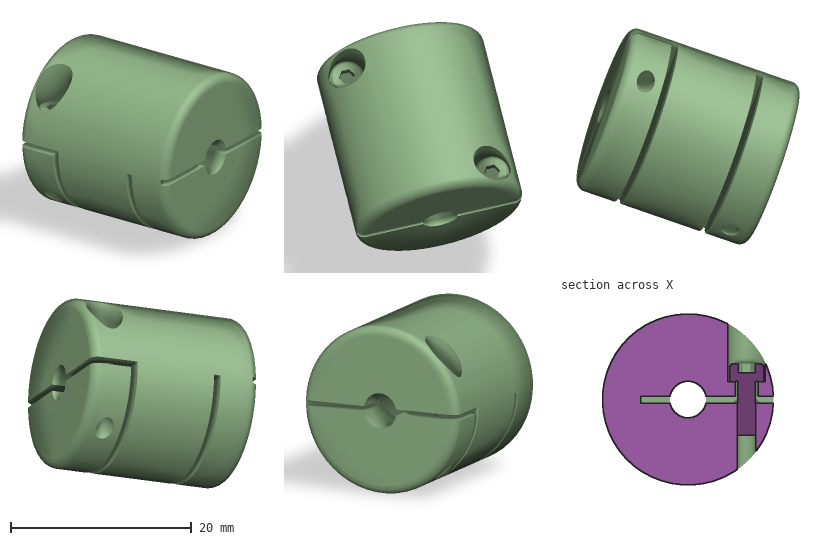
import cadquery as cq

body_length = 20.0
body_diameter = 19.0
edge_radius = 1.0
bore_diameter = 4.0

half_length = body_length / 2
body_radius = body_diameter / 2

slit_width = 0.72
slit_end_x = 4.6
slit_hinge_depth = 0.68
slit_slant_y = -0.8

relief_slot_width = 0.8

screw_x = 7.35
screw_y = 6.5
seat_z = 2.0
head_diameter = 3.8
head_height = 2.0
head_chamfer = 0.3
hex_across_flats = 1.55
hex_depth = 1.0
shank_diameter = 2.0
shank_length = 6.0
counterbore_diameter = 4.1
clearance_diameter = 2.5

hex_flats_to_corners = 2 / 3 ** 0.5
clamp_angles = (0, 180)


def vertical_cylinder(diameter, bottom_z, top_z):
    """Cylinder on the axis of the screw in the -X clamp."""
    return (
        cq.Workplane("XY", origin=(-screw_x, -screw_y, bottom_z))
        .circle(diameter / 2)
        .extrude(top_z - bottom_z)
    )


def turned(shape, angle):
    """Copy of a shape turned about the Z axis."""
    return shape.rotate((0, 0, 0), (0, 0, 1), angle)


def make_clamp_slit():
    """Slit at the height of the bore axis in the -X clamp."""
    return (
        cq.Workplane("XY", origin=(0, 0, -slit_width / 2))
        .moveTo(-half_length, -body_radius)
        .lineTo(-slit_end_x, -body_radius)
        .lineTo(-slit_end_x, slit_slant_y)
        .lineTo(-half_length + slit_hinge_depth, body_radius)
        .lineTo(-half_length, body_radius)
        .close()
        .extrude(slit_width)
    )


def make_relief_slot():
    """Slot across the lower half of the body, flush with the square end of the slit."""
    return cq.Workplane("XY").box(
        relief_slot_width, body_diameter, body_radius, centered=(False, True, False)
    ).translate((-slit_end_x - relief_slot_width, 0, -body_radius))


def make_screw_hole():
    """Counterbore, clearance hole down to the slit and threaded hole below it."""
    counterbore = vertical_cylinder(counterbore_diameter, seat_z, body_radius)
    clearance_hole = vertical_cylinder(clearance_diameter, 0, seat_z)
    threaded_hole = vertical_cylinder(shank_diameter, -body_radius, 0)
    return counterbore.union(clearance_hole).union(threaded_hole)


def make_coupling_body():
    """Rounded cylinder with the bore and, at each end, a slit, a slot and a screw hole."""
    body = (
        cq.Workplane("YZ", origin=(-half_length, 0, 0))
        .circle(body_radius)
        .extrude(body_length)
        .edges()
        .fillet(edge_radius)
    )
    bore = cq.Workplane("YZ", origin=(-half_length, 0, 0)).circle(bore_diameter / 2).extrude(body_length)
    body = body.cut(bore)
    for angle in clamp_angles:
        for cutter in (make_clamp_slit(), make_relief_slot(), make_screw_hole()):
            body = body.cut(turned(cutter, angle))
    return body


def make_clamp_screw():
    """Socket head screw of the -X clamp."""
    head_top_z = seat_z + head_height
    head = vertical_cylinder(head_diameter, seat_z, head_top_z).faces(">Z").chamfer(head_chamfer)
    socket = (
        cq.Workplane("XY", origin=(-screw_x, -screw_y, head_top_z))
        .transformed(rotate=(0, 0, 90))
        .polygon(6, hex_across_flats * hex_flats_to_corners)
        .extrude(-hex_depth)
    )
    shank = vertical_cylinder(shank_diameter, seat_z - shank_length, seat_z)
    return head.cut(socket).union(shank)


coupling_body = make_coupling_body()
clamp_screws = [turned(make_clamp_screw(), angle) for angle in clamp_angles]

result = cq.Compound.makeCompound([coupling_body.val(), *[screw.val() for screw in clamp_screws]])